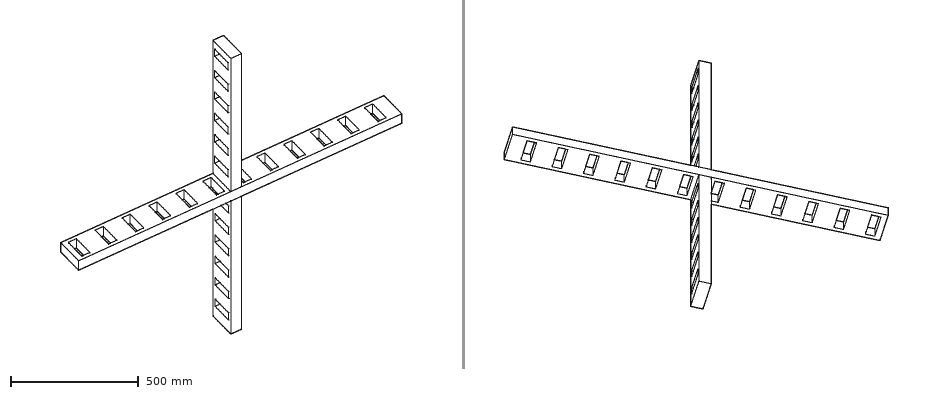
import cadquery as cq

beam_width = 127.0
beam_thickness = 50.8

crossbar_length = 1524.0
cross_height = 1473.2
post_length = (cross_height - beam_thickness) / 2

slot_width = 95.25
slot_height = 38.1
crossbar_slot_count = 12
crossbar_slot_pitch = 127.0
post_slot_count = 6
post_slot_pitch = 114.3

crossbar_side_margin = 15.875
crossbar_end_margin = 25.4
upper_post_side_margin = 12.7
lower_post_side_margin = 15.875
post_top_margin = 38.1

first_crossbar_slot_y = -crossbar_length / 2 + crossbar_end_margin + slot_height / 2
post_y = first_crossbar_slot_y + (crossbar_slot_count - 1) / 2 * crossbar_slot_pitch


def slot_center_x(side_margin):
    """X of the slot centers for a given -X side margin."""
    return -beam_width / 2 + side_margin + slot_width / 2


def make_crossbar():
    """Horizontal bar along Y with a row of vertical slots."""
    bar = cq.Workplane("XY").box(beam_width, crossbar_length, beam_thickness)
    x = slot_center_x(crossbar_side_margin)
    for i in range(crossbar_slot_count):
        y = first_crossbar_slot_y + i * crossbar_slot_pitch
        slot = cq.Workplane("XY").box(slot_width, slot_height, beam_thickness)
        bar = bar.cut(slot.translate((x, y, 0)))
    return bar


def make_post(top_z, side_margin):
    """Upright post hanging down from top_z, with a row of slots through Y."""
    post = cq.Workplane("XY").box(beam_width, beam_thickness, post_length)
    post = post.translate((0, post_y, top_z - post_length / 2))
    first_slot_z = top_z - post_top_margin - slot_height / 2
    x = slot_center_x(side_margin)
    for i in range(post_slot_count):
        z = first_slot_z - i * post_slot_pitch
        slot = cq.Workplane("XY").box(slot_width, beam_thickness, slot_height)
        post = post.cut(slot.translate((x, post_y, z)))
    return post


crossbar = make_crossbar()

upper_post = make_post(cross_height / 2, upper_post_side_margin)
lower_post = make_post(-beam_thickness / 2, lower_post_side_margin)

result = cq.Compound.makeCompound([crossbar.val(), upper_post.val(), lower_post.val()])